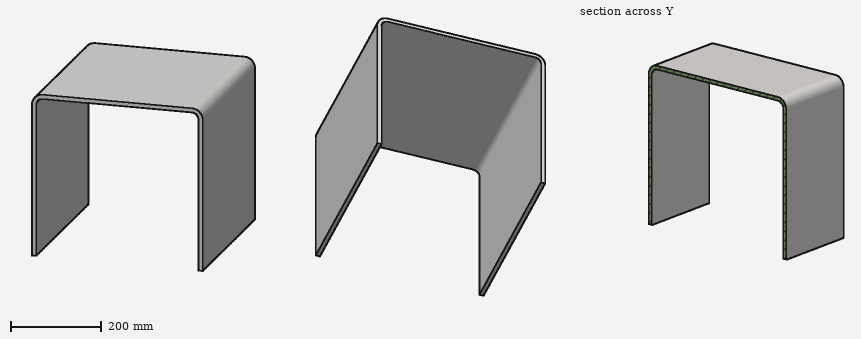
import cadquery as cq

width = 395.0
depth = 400
height = 375.0

thickness = 10.0
inner_radius = 15.0
outer_radius = inner_radius + thickness


def centred_block(size_x, size_z, corner_radius):
    """Block standing on Z = 0 with its two top edges along Y rounded."""
    block = cq.Workplane("XY").box(size_x, depth, size_z, centered=(True, True, False))
    return block.edges("|Y and >Z").fillet(corner_radius)


outside = centred_block(width, height, outer_radius)
inside = centred_block(width - 2 * thickness, height - thickness, inner_radius)
result = outside.cut(inside)